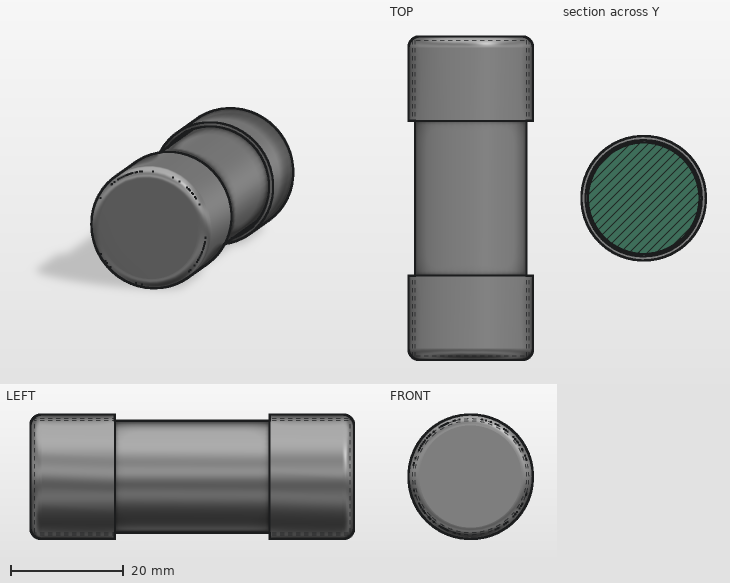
import cadquery as cq

overall_length = 57.5
cap_diameter = 22.15
cap_length = 15.0
cap_edge_radius = 2.0
cap_wall = 0.75
body_diameter = 19.9

half_length = overall_length / 2
cap_bore_diameter = cap_diameter - 2 * cap_wall
cap_bore_depth = cap_length - cap_wall
body_length = overall_length - 2 * cap_wall


def make_body():
    """Solid core, reaching the inner end faces of both caps."""
    return cq.Workplane("XZ").circle(body_diameter / 2).extrude(body_length / 2, both=True)


def make_cap(side):
    """Cup with a rounded outer rim, loose around the core; side is -1 for the -Y end, +1 for +Y."""
    open_end = cq.Workplane("XZ", origin=(0, side * (half_length - cap_length), 0))
    shell = open_end.circle(cap_diameter / 2).extrude(-side * cap_length)
    shell = shell.faces("<Y" if side < 0 else ">Y").edges().fillet(cap_edge_radius)
    bore = open_end.circle(cap_bore_diameter / 2).extrude(-side * cap_bore_depth)
    return shell.cut(bore)


result = make_body()
for side in (-1, 1):
    result = result.union(make_cap(side))